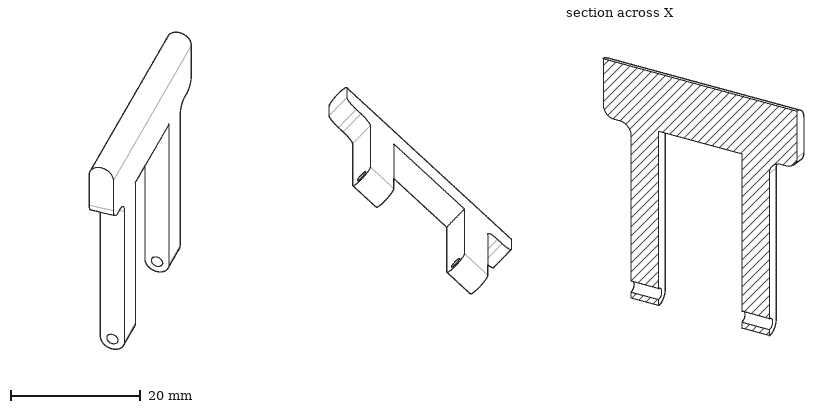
import cadquery as cq

thickness = 4.0
height = 40.0
head_width = 35.0
head_height = 10.0
leg_span = 25.0
leg_width = 5.0
corner_radius = 2.0
pin_hole_diameter = 1.85

end_radius = thickness / 2
leg_height = height - head_height
leg_center = (leg_span - leg_width) / 2


def box_from(width, bottom, top, center_y=0.0):
    """Block of full thickness, spanning bottom to top in Z."""
    return (
        cq.Workplane("XY", origin=(0, center_y, bottom))
        .rect(thickness, width)
        .extrude(top - bottom)
    )


def make_frame():
    """Head bar on two legs, with rounded shoulders."""
    frame = box_from(head_width, leg_height, height).edges("|X and <Z").fillet(corner_radius)
    for side in (-1, 1):
        frame = frame.union(box_from(leg_width, 0, leg_height, side * leg_center))
    for side in (-1, 1):
        shoulder = cq.selectors.NearestToPointSelector((0, side * leg_span / 2, leg_height))
        frame = frame.edges("|X").edges(shoulder).fillet(corner_radius)
    return frame


def make_rounded_profile():
    """Side profile with full-round top and bottom, as wide as the head."""
    return (
        cq.Workplane("XZ", origin=(0, 0, height / 2))
        .slot2D(height, thickness, 90)
        .extrude(head_width / 2, both=True)
    )


def make_pin_hole():
    """Pin bore through both legs, concentric with their rounded ends."""
    return (
        cq.Workplane("XZ", origin=(0, 0, end_radius))
        .circle(pin_hole_diameter / 2)
        .extrude(head_width / 2, both=True)
    )


result = make_frame().intersect(make_rounded_profile()).cut(make_pin_hole())